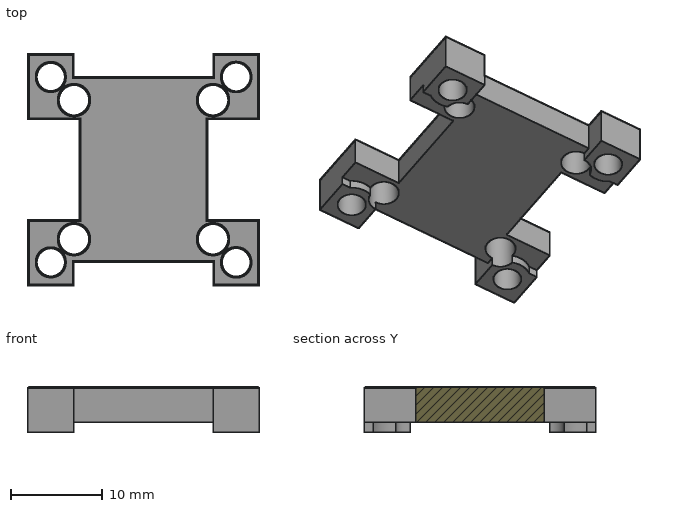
import cadquery as cq

GRID = 2.54
SIDE = 10 * GRID
HEIGHT = 5.0

OUTER_HOLE_SPACING = 8 * GRID
LEFT_OUTER_HOLE_DIAMETER = 3.05
RIGHT_OUTER_HOLE_DIAMETER = 3.1
INNER_HOLE_SPACING = 6 * GRID
INNER_HOLE_DIAMETER = 3.3
HOLE_CHAMFER = 0.15

BODY_WIDTH = 14.1
BODY_LENGTH = OUTER_HOLE_SPACING
SIDE_NOTCH_LENGTH = 11.0
END_NOTCH_WIDTH = INNER_HOLE_SPACING
TOP_CHAMFER = 0.15

FOOT_HEIGHT = 1.1
FOOT_GAP_X = END_NOTCH_WIDTH
FOOT_GAP_Y = 16.26
BOSS_DIAMETER = 2 * GRID


def corner_points(spacing_x, spacing_y):
    """Four centred corner points on the bottom plane."""
    return cq.Workplane("XY").rect(spacing_x, spacing_y, forConstruction=True).vertices()


def make_plate():
    """Square plate notched on all four sides, with its top rim chamfered."""
    thickness = HEIGHT - FOOT_HEIGHT
    plate = cq.Workplane("XY").workplane(offset=FOOT_HEIGHT).rect(SIDE, SIDE).extrude(thickness)
    side_notch_depth = (SIDE - BODY_WIDTH) / 2
    end_notch_depth = (SIDE - BODY_LENGTH) / 2
    side_notch = cq.Workplane("XY").rect(side_notch_depth, SIDE_NOTCH_LENGTH).extrude(HEIGHT)
    end_notch = cq.Workplane("XY").rect(END_NOTCH_WIDTH, end_notch_depth).extrude(HEIGHT)
    for direction in (-1, 1):
        plate = plate.cut(side_notch.translate((direction * (SIDE - side_notch_depth) / 2, 0, 0)))
        plate = plate.cut(end_notch.translate((0, direction * (SIDE - end_notch_depth) / 2, 0)))
    return plate.faces(">Z").chamfer(TOP_CHAMFER)


def make_feet():
    """Four feet flush with the outer plate corners: a rectangle joined to a boss around the outer hole."""
    length_x = (SIDE - FOOT_GAP_X) / 2
    length_y = (SIDE - FOOT_GAP_Y) / 2
    blocks = corner_points(SIDE - length_x, SIDE - length_y).rect(length_x, length_y).extrude(FOOT_HEIGHT)
    bosses = (
        corner_points(OUTER_HOLE_SPACING, OUTER_HOLE_SPACING)
        .circle(BOSS_DIAMETER / 2)
        .extrude(FOOT_HEIGHT)
    )
    return blocks.union(bosses)


def hole_pair(diameter, x, spacing_y):
    """Two through-hole cutters at one X position, each with a chamfered top rim."""
    radius = diameter / 2
    profile = (
        cq.Workplane("XZ")
        .lineTo(radius, 0)
        .lineTo(radius, HEIGHT - HOLE_CHAMFER)
        .lineTo(radius + HOLE_CHAMFER, HEIGHT)
        .lineTo(0, HEIGHT)
        .close()
    )
    cutter = profile.revolve(360, (0, 0, 0), (0, 1, 0))
    lower = cutter.translate((x, -spacing_y / 2, 0))
    upper = cutter.translate((x, spacing_y / 2, 0))
    return lower.add(upper)


result = make_plate().union(make_feet())
result = result.cut(hole_pair(LEFT_OUTER_HOLE_DIAMETER, -OUTER_HOLE_SPACING / 2, OUTER_HOLE_SPACING))
result = result.cut(hole_pair(RIGHT_OUTER_HOLE_DIAMETER, OUTER_HOLE_SPACING / 2, OUTER_HOLE_SPACING))
for side in (-1, 1):
    result = result.cut(hole_pair(INNER_HOLE_DIAMETER, side * INNER_HOLE_SPACING / 2, INNER_HOLE_SPACING))